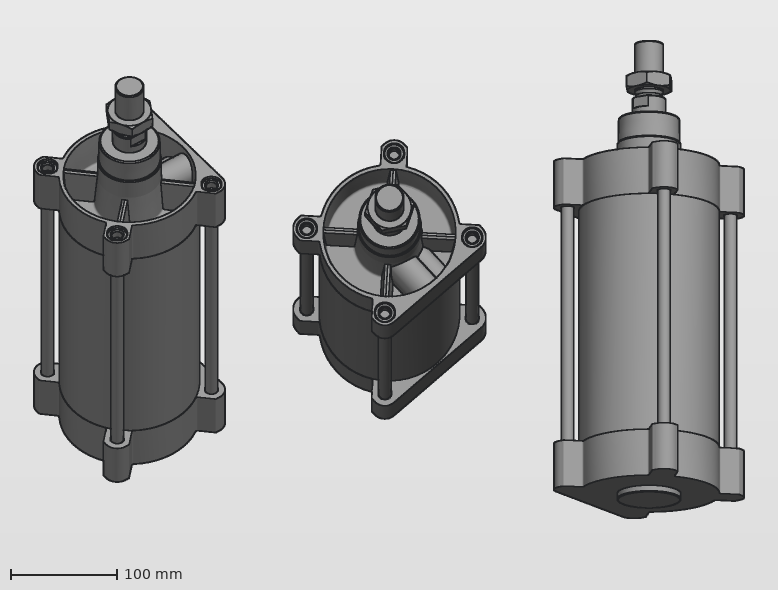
import cadquery as cq
import math

TOTAL_HEIGHT = 445.0
LOWER_CAP_BOTTOM = 6.2
CAP_HEIGHT = 45.0
UPPER_CAP_TOP = 326.0
COLLAR_STEP = 348.0
COLLAR_TOP = 372.0
SHOULDER = 391.0
NUT_BOTTOM = 399.5
NUT_HEIGHT = 13.5

LOWER_CAP_TOP = LOWER_CAP_BOTTOM + CAP_HEIGHT
UPPER_CAP_BOTTOM = UPPER_CAP_TOP - CAP_HEIGHT

TOLERANCE = 0.0198

CAP_DIAMETER = 133.0
TUBE_DIAMETER = 132.5
TIE_ROD_OFFSET = 55.0
EAR_RADIUS = 13.0
EAR_FLAT = 4.5
EAR_FILLET = 2.0
EAR_EDGE = TIE_ROD_OFFSET + EAR_RADIUS
SPIGOT_DIAMETER = 60.0
SPIGOT_CHAMFER = 1.0

COLLAR_DIAMETER = 60.0
SCRAPER_BASE_DIAMETER = 58.5
SCRAPER_TOP_DIAMETER = 57.5
COLLAR_CHAMFER = 1.5

POCKET_DIAMETER = 125.0
POCKET_DEPTH = 35.5
POCKET_DRAFT = 5.0
POCKET_FILLET = 2.2
POCKET_FLOOR = UPPER_CAP_TOP - POCKET_DEPTH
RIB_TOP_WIDTH = 5.5
RIB_DROP = 3.5
RIB_RIDGE = 1.0

PORT_DIAMETER = 31.0
PORT_OFFSET = 8.5
HIGH_PORT_Z = 305.3
LOW_PORT_Z = 289.2
PORT_END_Y = 64.5

TIE_ROD_DIAMETER = 12.0
TIE_ROD_HOLE_DIAMETER = 13.0
TIE_ROD_HOLE_DEPTH = 2.2
NUT_SEAT_DIAMETER = 19.5
NUT_SEAT_DEPTH = 3.5
TIE_NUT_DIAMETER = 18.5
TIE_NUT_HEIGHT = 2.0
TIE_NUT_CHAMFER = 0.5
SOCKET_DIAMETER = 10.2
SOCKET_DEPTH = 9.0
SOCKET_CHAMFER = 1.5
CHAMFER_SHARE = 0.999

ROD_DIAMETER = 32.0
ROD_CHAMFER = 1.0
ROD_FLATS_WIDTH = 27.0
ROD_FLATS_LENGTH = 10.5
THREAD_DIAMETER = 27.0
THREAD_CHAMFER = 1.1
THREAD_END = 398.0
UNDERCUT_DIAMETER = 24.5
UNDERCUT_TOP = 394.3

NUT_ACROSS_FLATS = 41.0
NUT_ACROSS_CORNERS = NUT_ACROSS_FLATS / math.cos(math.radians(30))
NUT_CHAMFER_ANGLE = 30.0

TIE_ROD_POINTS = [
    (x, y)
    for x in (-TIE_ROD_OFFSET, TIE_ROD_OFFSET)
    for y in (-TIE_ROD_OFFSET, TIE_ROD_OFFSET)
]


def disc(diameter, bottom, top):
    """Upright cylinder on the Z axis between two heights."""
    return cq.Workplane("XY").workplane(offset=bottom).circle(diameter / 2).extrude(top - bottom)


def at_tie_rods(diameter, bottom, top):
    """One upright cylinder on each tie rod axis."""
    return (
        cq.Workplane("XY").workplane(offset=bottom)
        .pushPoints(TIE_ROD_POINTS).circle(diameter / 2).extrude(top - bottom)
    )


def cap_ear(bottom):
    """Ear at the (-X, -Y) corner: rounded outer corner and two sides running in at 45 degrees."""
    inner = -TIE_ROD_OFFSET + EAR_FLAT
    diagonal = -TIE_ROD_OFFSET - EAR_RADIUS * math.sqrt(0.5)
    run = EAR_EDGE / 2
    return (
        cq.Workplane("XY").workplane(offset=bottom)
        .moveTo(-EAR_EDGE, -TIE_ROD_OFFSET)
        .threePointArc((diagonal, diagonal), (-TIE_ROD_OFFSET, -EAR_EDGE))
        .lineTo(inner, -EAR_EDGE)
        .lineTo(inner + run, -EAR_EDGE + run)
        .lineTo(-EAR_EDGE + run, inner + run)
        .lineTo(-EAR_EDGE, inner)
        .close()
        .extrude(CAP_HEIGHT)
    )


def end_cap(bottom):
    """Round cap with four ears; the two +Y ears are joined by a flat side."""
    cap = disc(CAP_DIAMETER, bottom, bottom + CAP_HEIGHT)
    for corner in range(4):
        cap = cap.union(cap_ear(bottom).rotate((0, 0, 0), (0, 0, 1), 90 * corner))
    flat_side = (
        cq.Workplane("XY").workplane(offset=bottom)
        .center(0, EAR_EDGE / 2).rect(2 * (TIE_ROD_OFFSET - EAR_FLAT), EAR_EDGE).extrude(CAP_HEIGHT)
    )
    cap = cap.union(flat_side)
    valley_radius = CAP_DIAMETER / 2
    corner_radius = math.hypot(EAR_EDGE, TIE_ROD_OFFSET - EAR_FLAT)

    def is_ear_edge(edge):
        x, y = edge.Center().x, edge.Center().y
        reach = math.hypot(x, y)
        on_radius = min(abs(reach - valley_radius), abs(reach - corner_radius)) < TOLERANCE
        return on_radius and abs(x * y) > TOLERANCE

    return cap.edges("|Z").filter(is_ear_edge).fillet(EAR_FILLET)


def pocket_rib(angle):
    """Drafted rib across the pocket, with a low ridged top."""
    height = POCKET_DEPTH - RIB_DROP
    bottom_width = RIB_TOP_WIDTH + 2 * height * math.tan(math.radians(POCKET_DRAFT))
    rib = (
        cq.Workplane("YZ")
        .moveTo(-bottom_width / 2, POCKET_FLOOR)
        .lineTo(bottom_width / 2, POCKET_FLOOR)
        .lineTo(RIB_TOP_WIDTH / 2, POCKET_FLOOR + height)
        .lineTo(0, POCKET_FLOOR + height + RIB_RIDGE)
        .lineTo(-RIB_TOP_WIDTH / 2, POCKET_FLOOR + height)
        .close()
        .extrude(POCKET_DIAMETER / 2, both=True)
    )
    return rib.rotate((0, 0, 0), (0, 0, 1), angle)


def pocket():
    """Ring-shaped recess with drafted walls, divided by two crossing ribs."""
    draft = POCKET_DEPTH * math.tan(math.radians(POCKET_DRAFT))
    inner_radius = COLLAR_DIAMETER / 2
    outer_radius = POCKET_DIAMETER / 2
    ring = (
        cq.Workplane("XZ")
        .moveTo(inner_radius, UPPER_CAP_TOP)
        .lineTo(outer_radius, UPPER_CAP_TOP)
        .lineTo(outer_radius - draft, POCKET_FLOOR)
        .lineTo(inner_radius + draft, POCKET_FLOOR)
        .close()
        .revolve(360, (0, 0, 0), (0, 1, 0))
        .faces("<Z").edges().fillet(POCKET_FILLET)
    )
    for angle in (45, 135):
        ring = ring.cut(pocket_rib(angle))
    return ring


def port_boss(x, z):
    """Round-topped boss along Y, from the collar to the cap wall, with straight sides to the floor."""
    boss = cq.Workplane("XZ").center(x, z).circle(PORT_DIAMETER / 2).extrude(-PORT_END_Y)
    drop = z - UPPER_CAP_BOTTOM
    web = cq.Workplane("XZ").center(x, z - drop / 2).rect(PORT_DIAMETER, drop).extrude(-PORT_END_Y)
    return boss.union(web).intersect(disc(CAP_DIAMETER, UPPER_CAP_BOTTOM, UPPER_CAP_TOP))


def collar():
    """Stepped collar that guides the piston rod; its upper part tapers slightly."""
    guide = disc(COLLAR_DIAMETER, UPPER_CAP_BOTTOM, COLLAR_STEP).faces(">Z").chamfer(COLLAR_CHAMFER)
    scraper = (
        cq.Workplane("XY").workplane(offset=COLLAR_STEP).circle(SCRAPER_BASE_DIAMETER / 2)
        .workplane(offset=COLLAR_TOP - COLLAR_STEP).circle(SCRAPER_TOP_DIAMETER / 2)
        .loft(ruled=True)
        .faces(">Z").chamfer(COLLAR_CHAMFER)
    )
    return guide.union(scraper)


def add_tie_rods(body):
    """Tie rods between the caps, with a shallow clearance recess where they enter each cap."""
    rod_bottom = LOWER_CAP_TOP - TIE_ROD_HOLE_DEPTH
    rod_top = UPPER_CAP_BOTTOM + TIE_ROD_HOLE_DEPTH
    body = body.cut(at_tie_rods(TIE_ROD_HOLE_DIAMETER, rod_bottom, LOWER_CAP_TOP))
    body = body.cut(at_tie_rods(TIE_ROD_HOLE_DIAMETER, UPPER_CAP_BOTTOM, rod_top))
    return body.union(at_tie_rods(TIE_ROD_DIAMETER, rod_bottom, rod_top))


def add_tie_rod_nuts(body):
    """Round nuts sunk in the upper ears, each with a chamfered socket."""
    seat = UPPER_CAP_TOP - NUT_SEAT_DEPTH
    nut_top = seat + TIE_NUT_HEIGHT
    body = body.cut(at_tie_rods(NUT_SEAT_DIAMETER, seat, UPPER_CAP_TOP))
    nuts = at_tie_rods(TIE_NUT_DIAMETER, seat, nut_top).faces(">Z").chamfer(TIE_NUT_CHAMFER)
    socket = at_tie_rods(SOCKET_DIAMETER, nut_top - SOCKET_DEPTH, nut_top)
    mouth = (
        at_tie_rods(SOCKET_DIAMETER + 2 * SOCKET_CHAMFER, nut_top - SOCKET_CHAMFER, nut_top)
        .faces("<Z").edges().chamfer(SOCKET_CHAMFER * CHAMFER_SHARE)
    )
    return body.union(nuts).cut(socket).cut(mouth)


def make_housing():
    """Tube, end caps, collar, spigot and tie rods as one body."""
    body = disc(TUBE_DIAMETER, LOWER_CAP_TOP, UPPER_CAP_BOTTOM)
    body = body.union(end_cap(LOWER_CAP_BOTTOM))
    body = body.union(end_cap(UPPER_CAP_BOTTOM).cut(pocket()))
    body = body.union(port_boss(PORT_OFFSET, HIGH_PORT_Z))
    body = body.union(port_boss(-PORT_OFFSET, LOW_PORT_Z))
    body = body.union(collar())
    spigot = disc(SPIGOT_DIAMETER, 0, LOWER_CAP_BOTTOM).faces("<Z").chamfer(SPIGOT_CHAMFER)
    body = body.union(spigot)
    body = add_tie_rods(body)
    body = add_tie_rod_nuts(body)
    return body.cut(disc(ROD_DIAMETER, UPPER_CAP_BOTTOM, COLLAR_TOP))


def make_piston_rod():
    """Rod with wrench flats, an undercut and a plain thread cylinder."""
    rod_radius = ROD_DIAMETER / 2
    thread_radius = THREAD_DIAMETER / 2
    undercut_radius = UNDERCUT_DIAMETER / 2
    rod = (
        cq.Workplane("XZ")
        .moveTo(0, UPPER_CAP_BOTTOM)
        .lineTo(rod_radius, UPPER_CAP_BOTTOM)
        .lineTo(rod_radius, SHOULDER - ROD_CHAMFER)
        .lineTo(rod_radius - ROD_CHAMFER, SHOULDER)
        .lineTo(undercut_radius, SHOULDER)
        .lineTo(undercut_radius, UNDERCUT_TOP)
        .lineTo(thread_radius, THREAD_END)
        .lineTo(thread_radius, TOTAL_HEIGHT - THREAD_CHAMFER)
        .lineTo(thread_radius - THREAD_CHAMFER, TOTAL_HEIGHT)
        .lineTo(0, TOTAL_HEIGHT)
        .close()
        .revolve(360, (0, 0, 0), (0, 1, 0))
    )
    flats_bottom = SHOULDER - ROD_FLATS_LENGTH
    for side in (-1, 1):
        flat = (
            cq.Workplane("XY").workplane(offset=flats_bottom)
            .center(side * (ROD_FLATS_WIDTH + ROD_DIAMETER) / 2, 0)
            .rect(ROD_DIAMETER, ROD_DIAMETER).extrude(ROD_FLATS_LENGTH)
        )
        rod = rod.cut(flat)
    return rod


def make_lock_nut():
    """Hexagon nut with flats facing +X and -X and conical chamfers on both faces."""
    hexagon = (
        cq.Workplane("XY").workplane(offset=NUT_BOTTOM)
        .polygon(6, NUT_ACROSS_CORNERS).extrude(NUT_HEIGHT)
        .rotate((0, 0, 0), (0, 0, 1), 30)
    )
    overhang = (NUT_ACROSS_CORNERS - NUT_ACROSS_FLATS) / 2
    drop = overhang * math.tan(math.radians(NUT_CHAMFER_ANGLE))
    envelope = disc(NUT_ACROSS_CORNERS, NUT_BOTTOM, NUT_BOTTOM + NUT_HEIGHT).edges().chamfer(drop, overhang)
    nut = hexagon.intersect(envelope)
    return nut.cut(disc(THREAD_DIAMETER, NUT_BOTTOM, NUT_BOTTOM + NUT_HEIGHT))


housing = make_housing()
piston_rod = make_piston_rod()
lock_nut = make_lock_nut()

result = cq.Compound.makeCompound([housing.val(), piston_rod.val(), lock_nut.val()])